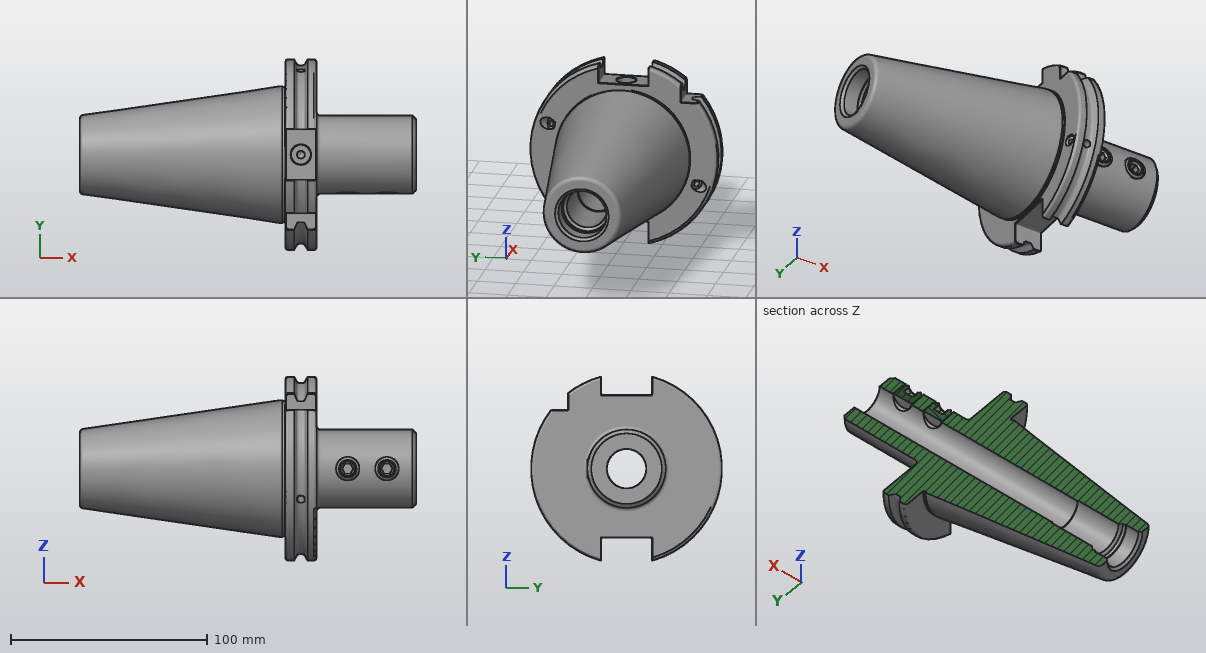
import math

import cadquery as cq


gauge_radius = 69.85 / 2
taper_length = 101.75
taper_slope = 7 / 24 / 2
taper_end_x = 0.5
undercut_start_x = 1.6
undercut_depth = 0.4
tail_fillet = 2.2

flange_radius = 97.5 / 2
flange_start_x = 3.2
flange_end_x = 19.1
flange_fillet = 1.5
groove_x = 11.1
groove_width = 7.0
groove_floor_radius = 91.25 / 2
groove_floor_fillet = 1.3
groove_flank_angle = 30.0

slot_width = 25.7
top_slot_floor = 37.7
bottom_slot_floor = 35.3
notch_inset = 30.0
cutout_corner_fillet = 0.5
cutout_chamfer = 0.4

pocket_diameter = 10.0
pocket_depth = 4.6
pocket_rim_chamfer = 0.3
spot_diameter = 4.0
spot_point_angle = 118.0

port_angles = (20.0, 200.0)
port_radius = 41.9
port_diameter = 6.0
port_depth = 2.5
port_tilt = 40.0
channel_diameter = 3.0
groove_hole_diameter = 4.0

shank_radius = 20.0
shank_end_x = 70.0
shank_root_fillet = 2.0
shank_end_chamfer = 2.0
bore_diameter = 20.0
pilot_diameter = 25.0
pilot_depth = 9.5
mouth_chamfer = 1.5
recess_diameter = 24.0
recess_depth = 11.5
thread_diameter = 21.0
thread_end_depth = 40.0

screw_positions = (35.0, 55.0)
screw_diameter = 12.0
screw_top = shank_radius
screw_tip = bore_diameter / 2 + 0.5
screw_chamfer = 1.5
hex_across_flats = 5.0
hex_depth = 5.0
hex_countersink_radius = 3.75

tail_x = -taper_length
tail_radius = gauge_radius - taper_slope * taper_length
taper_end_radius = gauge_radius + taper_slope * taper_end_x


def cylinder(start, direction, diameter, length):
    return cq.Workplane(cq.Solid.makeCylinder(diameter / 2, length, cq.Vector(*start), cq.Vector(*direction)))


def cone(start, direction, start_radius, end_radius, length):
    solid = cq.Solid.makeCone(start_radius, end_radius, length, cq.Vector(*start), cq.Vector(*direction))
    return cq.Workplane(solid)


def box(x_range, y_range, z_range):
    size = [high - low for low, high in (x_range, y_range, z_range)]
    return cq.Workplane().box(*size, centered=False).translate((x_range[0], y_range[0], z_range[0]))


def revolve_about_axis(outline):
    return outline.close().revolve(360, (0, 0, 0), (1, 0, 0))


def turned_taper():
    undercut_radius = taper_end_radius - undercut_depth
    outline = (
        cq.Workplane("XZ")
        .moveTo(tail_x, 0)
        .lineTo(tail_x, tail_radius)
        .lineTo(taper_end_x, taper_end_radius)
        .lineTo(undercut_start_x, taper_end_radius)
        .radiusArc((undercut_start_x + undercut_depth, undercut_radius), -undercut_depth)
        .lineTo(flange_start_x - undercut_depth, undercut_radius)
        .radiusArc((flange_start_x, taper_end_radius), -undercut_depth)
        .lineTo(flange_start_x, 0)
    )
    return revolve_about_axis(outline).faces("<X").edges().fillet(tail_fillet)


def turned_flange():
    blank = cylinder((flange_start_x, 0, 0), (1, 0, 0), 2 * flange_radius, flange_end_x - flange_start_x)
    flange = blank.edges().fillet(flange_fillet).cut(grip_groove())
    for cutout in flange_cutouts():
        flange = flange.cut(cutout)
    return flange.faces("<X or >X").edges("%LINE").chamfer(cutout_chamfer)


def grip_groove():
    half_width = groove_width / 2
    flank_run = (flange_radius - groove_floor_radius) * math.tan(math.radians(groove_flank_angle))
    half_floor = half_width - flank_run
    outline = (
        cq.Workplane("XZ")
        .moveTo(groove_x - half_width, flange_radius)
        .lineTo(groove_x - half_floor, groove_floor_radius)
        .lineTo(groove_x + half_floor, groove_floor_radius)
        .lineTo(groove_x + half_width, flange_radius)
    )
    floor_corners = cq.selectors.RadiusNthSelector(0)
    return revolve_about_axis(outline).edges(floor_corners).fillet(groove_floor_fillet)


def turned_shank():
    root_x = flange_end_x + shank_root_fillet
    corner_offset = shank_root_fillet * (1 - math.sqrt(0.5))
    outline = (
        cq.Workplane("XZ")
        .moveTo(flange_end_x, 0)
        .lineTo(flange_end_x, shank_radius + shank_root_fillet)
        .threePointArc((flange_end_x + corner_offset, shank_radius + corner_offset), (root_x, shank_radius))
        .lineTo(shank_end_x - shank_end_chamfer, shank_radius)
        .lineTo(shank_end_x, shank_radius - shank_end_chamfer)
        .lineTo(shank_end_x, 0)
    )
    return revolve_about_axis(outline)


def axial_bores():
    pilot_radius = pilot_diameter / 2
    recess_radius = recess_diameter / 2
    thread_radius = thread_diameter / 2
    bore_radius = bore_diameter / 2
    pilot_end_x = tail_x + pilot_depth
    recess_end_x = tail_x + recess_depth
    thread_end_x = tail_x + thread_end_depth
    outline = (
        cq.Workplane("XZ")
        .moveTo(tail_x, 0)
        .lineTo(tail_x, pilot_radius + mouth_chamfer)
        .lineTo(tail_x + mouth_chamfer, pilot_radius)
        .lineTo(pilot_end_x, pilot_radius)
        .lineTo(pilot_end_x, recess_radius)
        .lineTo(recess_end_x, recess_radius)
        .lineTo(recess_end_x + recess_radius - thread_radius, thread_radius)
        .lineTo(thread_end_x, thread_radius)
        .lineTo(thread_end_x, bore_radius)
        .lineTo(shank_end_x, bore_radius)
        .lineTo(shank_end_x, 0)
    )
    return revolve_about_axis(outline)


def flange_cutouts():
    across_flange = (flange_start_x, flange_end_x)
    across_slot = (-slot_width / 2, slot_width / 2)
    top_slot = box(across_flange, across_slot, (top_slot_floor, flange_radius))
    bottom_slot = box(across_flange, across_slot, (-flange_radius, -bottom_slot_floor))
    notch = box(across_flange, (-flange_radius, -notch_inset), (notch_inset, flange_radius))
    return [
        top_slot.edges("|X and <Z").fillet(cutout_corner_fillet),
        bottom_slot.edges("|X and >Z").fillet(cutout_corner_fillet),
        notch.edges("|X and <Z and >Y").fillet(cutout_corner_fillet),
    ]


def data_carrier_pocket():
    pocket_floor = top_slot_floor - pocket_depth
    pocket = cylinder((groove_x, 0, top_slot_floor), (0, 0, -1), pocket_diameter, pocket_depth)
    rim_radius = pocket_diameter / 2 + pocket_rim_chamfer
    rim = cone((groove_x, 0, top_slot_floor), (0, 0, -1), rim_radius, pocket_diameter / 2, pocket_rim_chamfer)
    spot_depth = spot_diameter / 2 / math.tan(math.radians(spot_point_angle / 2))
    spot = cone((groove_x, 0, pocket_floor), (0, 0, -1), spot_diameter / 2, 0, spot_depth)
    return [pocket, rim, spot]


def coolant_port():
    """Port at angle zero: a slanted hole from the flange face that meets a radial hole from the groove."""
    tilt = math.radians(port_tilt)
    slant = (math.cos(tilt), -math.sin(tilt), 0)
    lead_in = port_diameter
    start = (flange_start_x - lead_in * slant[0], port_radius - lead_in * slant[1], 0)
    port = cylinder(start, slant, port_diameter, lead_in + port_depth)
    behind_face = box((flange_start_x, flange_end_x), (0, flange_radius), (-port_diameter, port_diameter))
    port = port.intersect(behind_face)

    channel_run = (groove_x - flange_start_x) / slant[0]
    meeting_radius = port_radius + channel_run * slant[1]
    channel = cylinder((flange_start_x, port_radius, 0), slant, channel_diameter, channel_run)
    channel = channel.intersect(behind_face)
    radial_length = flange_radius - meeting_radius
    radial = cylinder((groove_x, meeting_radius, 0), (0, 1, 0), groove_hole_diameter, radial_length)
    return port.union(channel).union(radial)


def screw_hole(x):
    return cylinder((x, 0, 0), (0, -1, 0), screw_diameter, shank_radius)


def build_holder():
    body = turned_taper().union(turned_flange()).union(turned_shank()).cut(axial_bores())
    for recess in data_carrier_pocket():
        body = body.cut(recess)
    for angle in port_angles:
        body = body.cut(coolant_port().rotate((0, 0, 0), (1, 0, 0), angle))
    for x in screw_positions:
        body = body.cut(screw_hole(x))
    return body


def build_clamping_screw(x):
    """Headless screw with a hexagon socket; its outer end faces -Y."""
    screw = cylinder((x, -screw_tip, 0), (0, -1, 0), screw_diameter, screw_top - screw_tip)
    screw = screw.faces("<Y").edges().chamfer(screw_chamfer)
    hex_across_corners = hex_across_flats / math.cos(math.radians(30))
    socket = cq.Workplane("XZ", origin=(x, -screw_top, 0)).polygon(6, hex_across_corners).extrude(-hex_depth)
    countersink_depth = hex_countersink_radius - hex_across_flats / 2
    countersink = cone(
        (x, -screw_top, 0), (0, 1, 0), hex_countersink_radius, hex_across_flats / 2, countersink_depth
    )
    return screw.cut(socket).cut(countersink)


holder = build_holder()
clamping_screws = [build_clamping_screw(x) for x in screw_positions]

result = cq.Compound.makeCompound([holder.val(), *[screw.val() for screw in clamping_screws]])